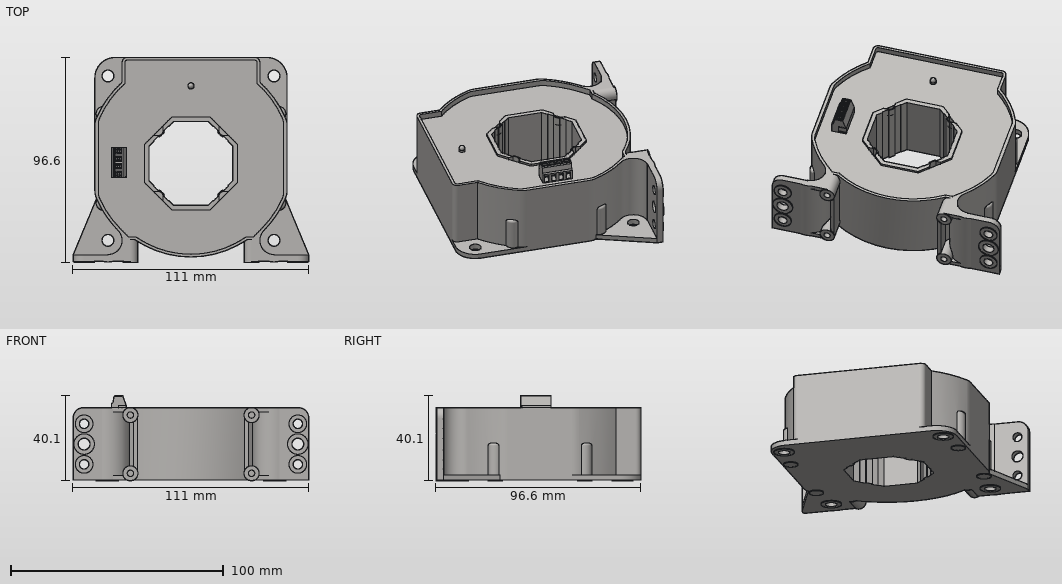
import cadquery as cq
import math

HEIGHT = 34.2
WALL = 1.3
FLOOR_Z = 31.4
BACK_Y = 50.0
SHOULDER_X = 32.4
SIDE_X = 45.3
SIDE_WALL = 1.7
ARC_CENTER_Y = 2.4
FLANK_RADIUS = 48.3
FRONT_RADIUS = 46.5
STEP_Y = -35.9
SHOULDER_FILLET = 2.4
SIDE_BLEND = 8.1

PLATE_THICKNESS = 2.4
PLATE_CORNER = 9.7
MOUNT_X = 39.1
MOUNT_BACK_Y = 41.2
MOUNT_FRONT_Y = -36.2
MOUNT_HOLE = 5.4
MOUNT_PAD = 9.8
PAD_HEIGHT = 0.4
WING_START_Y = -16.4

POST_X = 41.2
POST_YS = (23.4, -18.6)
POST_DIAMETER = 6.9
POST_TOP_Z = 17.4
POST_ROUNDING = 1.2

FLANGE_X = 55.5
FLANGE_FRONT_Y = -46.1
FLANGE_THICKNESS = 3.0
FLANGE_CORNER = 5.0
COVE_WALL_RADIUS = 10.2
BOSS_HEIGHT = 0.5
FLANGE_HOLE_X = 50.3
FLANGE_HOLE_Z = 17.0
FLANGE_HOLE_PITCH = 9.5
MID_HOLE, MID_BOSS = 5.4, 9.7
END_HOLE, END_BOSS = 4.3, 8.3
TUBE_X = 28.5
TUBE_DIAMETER = 7.1
TUBE_HOLE = 3.0
TUBE_HOLE_DEPTH = 6.7
TUBE_ZS = (3.2, HEIGHT - TUBE_DIAMETER / 2)
WEB_THICKNESS = 2.1
INNER_RIB_X = 25.2
INNER_RIB_THICKNESS = 1.8
POCKET_BACK_WALL = 0.5

BORE_SIDES = 8
BORE_FLATS = 39.3
RIM_FLATS = 43.6
RIM_HEIGHT = 1.0
BORE_GROOVE = 0.28
BORE_RIB = 0.4
BORE_STRIPS = 5
NOTCH_EDGE = 13.2
NOTCH_FILLET = 2.0
NOTCH_DEPTH = 3.3

LAMP_Y = 36.5
LAMP_BASE, LAMP_BASE_HEIGHT = 3.0, 1.0
LAMP_DOME = 2.8
LAMP_HEIGHT = 2.7

BLOCK_Y = 0.4
BLOCK_LENGTH = 14.3
BLOCK_LEFT, BLOCK_RIGHT = -37.5, -30.4
BLOCK_TOP_Z = 39.7
TOP_LEFT, TOP_RIGHT, TOP_CHAMFER = -35.7, -32.1, 0.5
LEDGE_X, LEDGE_Z, LEDGE_RISE = -36.7, 36.1, 0.4
POLES = 4
POLE_PITCH = 3.5
SCREW_X = -34.1
SCREW_HOLE, SCREW_DEPTH = 2.3, 1.3
SCREW_FRAME, SCREW_FRAME_DEPTH = 2.8, 0.3
SOCKET, SOCKET_DEPTH = 1.1, 0.5
WIRE_WIDTH, WIRE_DEPTH = 2.1, 1.5
WIRE_BOTTOM_Z, WIRE_TOP_Z = 32.0, 35.2
KEY_LEFT = -34.2
KEY_BOTTOM_Z, KEY_TOP_Z, KEY_DEPTH = 32.0, 35.1, 0.5

SLANT = math.sqrt(0.5)
COVE_RADIUS = math.hypot(MOUNT_X, ARC_CENTER_Y - MOUNT_FRONT_Y) - FLANK_RADIUS


def both_sides(shape):
    """The shape together with its mirror image across X = 0."""
    return shape.union(shape.mirror("YZ"))


def on_arc_at_x(radius, x, sign):
    return (x, ARC_CENTER_Y + sign * math.sqrt(radius**2 - x**2))


def on_arc_at_y(radius, y):
    return (math.sqrt(radius**2 - (y - ARC_CENTER_Y) ** 2), y)


def arc_middle(radius, start, end):
    """Middle point of an arc about the common arc centre."""
    x = start[0] + end[0]
    y = start[1] + end[1] - 2 * ARC_CENTER_Y
    reach = radius / math.hypot(x, y)
    return (x * reach, ARC_CENTER_Y + y * reach)


def body(inset, side_x):
    """Prism with the body outline, moved inwards by `inset`."""
    back_y = BACK_Y - inset
    shoulder = SHOULDER_X - inset
    flank_radius = FLANK_RADIUS - inset
    front_radius = FRONT_RADIUS - inset
    step_y = STEP_Y + inset

    shoulder_end = on_arc_at_x(flank_radius, shoulder, 1)
    side_back = on_arc_at_x(flank_radius, side_x, 1)
    side_front = on_arc_at_x(flank_radius, side_x, -1)
    slant_start = (flank_radius * SLANT, ARC_CENTER_Y - flank_radius * SLANT)
    slant_end = (flank_radius / SLANT + step_y - ARC_CENTER_Y, step_y)
    front_start = on_arc_at_y(front_radius, step_y)
    front_end = (0, ARC_CENTER_Y - front_radius)

    half = (
        cq.Workplane("XY")
        .moveTo(0, back_y)
        .lineTo(shoulder, back_y)
        .lineTo(*shoulder_end)
        .threePointArc(arc_middle(flank_radius, shoulder_end, side_back), side_back)
        .lineTo(*side_front)
        .threePointArc(arc_middle(flank_radius, side_front, slant_start), slant_start)
        .lineTo(*slant_end)
        .lineTo(*front_start)
        .threePointArc(arc_middle(front_radius, front_start, front_end), front_end)
        .close()
        .extrude(HEIGHT)
    )

    def upright_edges(corner):
        x, y = corner
        margin = 0.1
        return cq.selectors.BoxSelector(
            (x - margin, y - margin, -margin),
            (x + margin, y + margin, HEIGHT + margin),
        )

    half = half.edges(upright_edges((shoulder, back_y))).fillet(SHOULDER_FILLET - inset)
    half = half.edges(upright_edges(side_back)).fillet(SIDE_BLEND)
    half = half.edges(upright_edges(side_front)).fillet(SIDE_BLEND)
    return both_sides(half)


def base_plate():
    """Plate with rounded back corners and wings that end inside the cove walls."""
    wall_middle = (COVE_RADIUS + COVE_WALL_RADIUS) / 2

    def around_cove(degrees):
        angle = math.radians(degrees)
        return (MOUNT_X + wall_middle * math.cos(angle), MOUNT_FRONT_Y + wall_middle * math.sin(angle))

    half = (
        cq.Workplane("XY")
        .moveTo(0, BACK_Y)
        .lineTo(SIDE_X - PLATE_CORNER, BACK_Y)
        .radiusArc((SIDE_X, BACK_Y - PLATE_CORNER), PLATE_CORNER)
        .lineTo(SIDE_X, ARC_CENTER_Y)
        .lineTo(*on_arc_at_y(FLANK_RADIUS, WING_START_Y))
        .lineTo(FLANGE_X, FLANGE_FRONT_Y + FLANGE_THICKNESS)
        .lineTo(FLANGE_X, FLANGE_FRONT_Y)
        .lineTo(MOUNT_X, FLANGE_FRONT_Y)
        .lineTo(*around_cove(270))
        .threePointArc(around_cove(200), around_cove(135))
        .lineTo(0, STEP_Y)
        .close()
        .extrude(PLATE_THICKNESS)
    )
    return both_sides(half)


def disc(x, y, diameter, bottom, top):
    return cq.Workplane("XY", origin=(x, y, bottom)).circle(diameter / 2).extrude(top - bottom)


def box(x, y, z):
    """Box between pairs of limits along each axis."""
    return (
        cq.Workplane("XY", origin=(x[0], y[0], z[0]))
        .box(x[1] - x[0], y[1] - y[0], z[1] - z[0], centered=False)
    )


def rod(x, z, diameter, front, back):
    """Cylinder along Y."""
    return cq.Workplane("XZ", origin=(x, front, z)).circle(diameter / 2).extrude(front - back)


def side_posts():
    """Round-topped posts sunk partly into the flanks, ending in pads below the plate."""
    posts = cq.Workplane("XY")
    for y in POST_YS:
        post = disc(POST_X, y, POST_DIAMETER, -PAD_HEIGHT, POST_TOP_Z)
        posts = posts.union(post.faces(">Z").edges().fillet(POST_ROUNDING))
    return both_sides(posts)


def flange():
    """Upright plate with three raised-ring holes."""
    plate = box(
        (MOUNT_X, FLANGE_X),
        (FLANGE_FRONT_Y, FLANGE_FRONT_Y + FLANGE_THICKNESS),
        (0, HEIGHT),
    )
    plate = plate.edges("|Y and >X and >Z").fillet(FLANGE_CORNER)
    boss_front = FLANGE_FRONT_Y - BOSS_HEIGHT
    back = FLANGE_FRONT_Y + FLANGE_THICKNESS
    for step, hole, boss in ((-1, END_HOLE, END_BOSS), (0, MID_HOLE, MID_BOSS), (1, END_HOLE, END_BOSS)):
        z = FLANGE_HOLE_Z + step * FLANGE_HOLE_PITCH
        plate = plate.union(rod(FLANGE_HOLE_X, z, boss, boss_front, back))
        plate = plate.cut(rod(FLANGE_HOLE_X, z, hole, boss_front, back))
    return plate


def bracket():
    """Right-hand bracket: curved wall around the cove, webs, screw tubes and flange."""
    cove = disc(MOUNT_X, MOUNT_FRONT_Y, 2 * COVE_RADIUS, 0, HEIGHT)
    cove_wall = disc(MOUNT_X, MOUNT_FRONT_Y, 2 * COVE_WALL_RADIUS, 0, HEIGHT)
    cove_tangent = (MOUNT_X - COVE_RADIUS * SLANT, MOUNT_FRONT_Y + COVE_RADIUS * SLANT)

    block = (
        cq.Workplane("XY")
        .moveTo(INNER_RIB_X, FLANGE_FRONT_Y)
        .lineTo(MOUNT_X, FLANGE_FRONT_Y)
        .lineTo(MOUNT_X, MOUNT_FRONT_Y)
        .lineTo(*cove_tangent)
        .lineTo(INNER_RIB_X, STEP_Y)
        .close()
        .extrude(HEIGHT)
    )
    for z in ((0, TUBE_ZS[0]), (TUBE_ZS[1], HEIGHT)):
        block = block.cut(box((INNER_RIB_X, TUBE_X), (FLANGE_FRONT_Y, STEP_Y), z))

    pocket_reach = (FLANK_RADIUS - POCKET_BACK_WALL) / SLANT - ARC_CENTER_Y
    pocket_left = INNER_RIB_X + INNER_RIB_THICKNESS
    pocket = (
        cq.Workplane("XY", origin=(0, 0, WEB_THICKNESS))
        .moveTo(pocket_left, FLANGE_FRONT_Y)
        .lineTo(pocket_left, pocket_left - pocket_reach)
        .lineTo(MOUNT_X, MOUNT_X - pocket_reach)
        .lineTo(MOUNT_X, FLANGE_FRONT_Y)
        .close()
        .extrude(HEIGHT - 2 * WEB_THICKNESS)
        .cut(cove_wall)
    )
    block = block.cut(pocket)

    flange_back_y = FLANGE_FRONT_Y + FLANGE_THICKNESS
    bulge = cove_wall.intersect(
        box((INNER_RIB_X, FLANGE_X), (2 * FLANGE_FRONT_Y, flange_back_y), (0, HEIGHT))
    )
    block = block.union(flange()).union(bulge).cut(cove)

    tube_front = FLANGE_FRONT_Y - BOSS_HEIGHT
    for z in TUBE_ZS:
        block = block.union(rod(TUBE_X, z, TUBE_DIAMETER, tube_front, STEP_Y))
        block = block.cut(rod(TUBE_X, z, TUBE_HOLE, tube_front, tube_front + TUBE_HOLE_DEPTH))
    return block


def octagon(flats, bottom, top):
    half_side_angle = 180 / BORE_SIDES
    across_corners = flats / math.cos(math.radians(half_side_angle))
    return (
        cq.Workplane("XY", origin=(0, 0, bottom))
        .transformed(rotate=(0, 0, half_side_angle))
        .polygon(BORE_SIDES, across_corners)
        .extrude(top - bottom)
    )


def bore():
    """Octagonal opening whose diagonal sides have two grooves and a rib between them."""
    strip = BORE_FLATS * math.tan(math.pi / BORE_SIDES) / BORE_STRIPS
    half = BORE_FLATS / 2
    opening = octagon(BORE_FLATS, 0, HEIGHT)
    for angle in (45, 135, 225, 315):
        turn = ((0, 0, 0), (0, 0, 1), angle)
        for y in (-strip, strip):
            groove = box((0, half + BORE_GROOVE), (y - strip / 2, y + strip / 2), (0, HEIGHT))
            opening = opening.union(groove.rotate(*turn))
        rib = box((half - BORE_RIB, half), (-strip / 2, strip / 2), (0, HEIGHT))
        opening = opening.cut(rib.rotate(*turn))
    return opening


def notched_corners(bottom, top):
    """Prisms outside a rounded square, within the rim outline on its four diagonals."""
    notch = box((NOTCH_EDGE, RIM_FLATS), (NOTCH_EDGE, RIM_FLATS), (bottom, top))
    notch = notch.edges("|Z and <X and <Y").fillet(NOTCH_FILLET)
    notch = notch.intersect(octagon(RIM_FLATS, bottom, top))
    return [notch.rotate((0, 0, 0), (0, 0, 1), 90 * turn) for turn in range(4)]


def lamp():
    """Collar and domed lens standing on the well floor."""
    dome_radius = LAMP_DOME / 2
    base = disc(0, LAMP_Y, LAMP_BASE, FLOOR_Z, FLOOR_Z + LAMP_BASE_HEIGHT)
    dome_z = FLOOR_Z + LAMP_HEIGHT - dome_radius
    stem = disc(0, LAMP_Y, LAMP_DOME, FLOOR_Z, dome_z)
    dome = cq.Workplane("XY", origin=(0, LAMP_Y, dome_z)).sphere(dome_radius)
    return base.union(stem).union(dome)


def make_housing():
    shell = body(0, SIDE_X).union(base_plate()).union(side_posts())
    shell = shell.union(both_sides(bracket()))
    well = body(WALL, SIDE_X - SIDE_WALL).intersect(
        box((-SIDE_X, SIDE_X), (-BACK_Y, BACK_Y), (FLOOR_Z, HEIGHT))
    )
    shell = shell.cut(well)
    rim_top = FLOOR_Z + RIM_HEIGHT
    shell = shell.union(octagon(RIM_FLATS, FLOOR_Z, rim_top)).cut(bore())
    for notch in notched_corners(FLOOR_Z - NOTCH_DEPTH, rim_top):
        shell = shell.cut(notch)
    for x in (-MOUNT_X, MOUNT_X):
        for y in (MOUNT_BACK_Y, MOUNT_FRONT_Y):
            shell = shell.union(disc(x, y, MOUNT_PAD, -PAD_HEIGHT, PLATE_THICKNESS))
            shell = shell.cut(disc(x, y, MOUNT_HOLE, -PAD_HEIGHT, PLATE_THICKNESS))
    return shell.union(lamp())


def wire_entry(y):
    """Opening in the left face, its floor sloping down and outwards at 45 degrees."""
    inner_x = BLOCK_LEFT + WIRE_DEPTH
    return (
        cq.Workplane("XZ", origin=(0, y + WIRE_WIDTH / 2, 0))
        .moveTo(BLOCK_LEFT, WIRE_BOTTOM_Z)
        .lineTo(inner_x, WIRE_BOTTOM_Z + WIRE_DEPTH)
        .lineTo(inner_x, WIRE_TOP_Z)
        .lineTo(BLOCK_LEFT, WIRE_TOP_Z)
        .close()
        .extrude(WIRE_WIDTH)
    )


def make_terminal_block():
    front = BLOCK_Y - BLOCK_LENGTH / 2
    back = BLOCK_Y + BLOCK_LENGTH / 2
    block = (
        cq.Workplane("XZ", origin=(0, back, 0))
        .polyline(
            [
                (BLOCK_LEFT, FLOOR_Z),
                (BLOCK_LEFT, LEDGE_Z),
                (LEDGE_X, LEDGE_Z + LEDGE_RISE),
                (TOP_LEFT - TOP_CHAMFER, BLOCK_TOP_Z - TOP_CHAMFER),
                (TOP_LEFT, BLOCK_TOP_Z),
                (TOP_RIGHT, BLOCK_TOP_Z),
                (BLOCK_RIGHT, KEY_TOP_Z),
                (BLOCK_RIGHT, FLOOR_Z),
            ]
        )
        .close()
        .extrude(BLOCK_LENGTH)
    )
    frame = SCREW_FRAME / 2
    screw_z = BLOCK_TOP_Z - SCREW_DEPTH
    for pole in range(POLES):
        y = BLOCK_Y + (pole - (POLES - 1) / 2) * POLE_PITCH
        block = block.cut(box(
            (SCREW_X - frame, SCREW_X + frame),
            (y - frame, y + frame),
            (BLOCK_TOP_Z - SCREW_FRAME_DEPTH, BLOCK_TOP_Z),
        ))
        block = block.cut(disc(SCREW_X, y, SCREW_HOLE, screw_z, BLOCK_TOP_Z))
        block = block.cut(disc(SCREW_X, y, SOCKET, screw_z - SOCKET_DEPTH, screw_z))
        block = block.cut(wire_entry(y))
    key = box((KEY_LEFT, BLOCK_RIGHT), (front, front + KEY_DEPTH), (KEY_BOTTOM_Z, KEY_TOP_Z))
    return block.cut(key)


housing = make_housing()
terminal_block = make_terminal_block()
result = cq.Compound.makeCompound([housing.solids().val(), terminal_block.solids().val()])